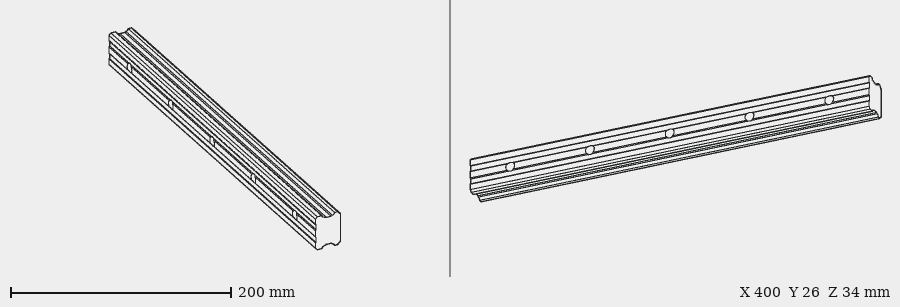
import cadquery as cq

length = 400.0
depth = 26.0
height = 34.0
half_depth = depth / 2
half_height = height / 2

base_chamfer = 2.0
flange_inner_y = -6.0

lip_outer_y = 10.5
lip_inner_y = 7.0
inner_track_end_y = 4.5
inner_track_end_z = 15.0
outer_track_z = 14.5
track_sagitta = 0.6

waist_half_height = 14.0
waist_start_y = 3.0
waist_end_y = -1.5
flange_slope_y = -5.0
flange_slope_z = 15.0

groove_outer_z = 9.0
groove_inner_z = 4.0
land_half_height = 3.0
groove_depth = 1.0

hole_diameter = 9.0
hole_pitch = 80.0
hole_count = 5


def make_half_rail():
    """Extrude the upper half of the section, drawn as (Y, Z) from Z = 0."""
    outline = (
        cq.Workplane("YZ")
        .moveTo(half_depth, 0)
        .lineTo(half_depth, outer_track_z)
        .sagittaArc((lip_outer_y, half_height), track_sagitta)
        .lineTo(lip_inner_y, half_height)
        .sagittaArc((inner_track_end_y, inner_track_end_z), track_sagitta)
        .lineTo(waist_start_y, waist_half_height)
        .lineTo(waist_end_y, waist_half_height)
        .lineTo(flange_slope_y, flange_slope_z)
        .lineTo(flange_inner_y, half_height)
        .lineTo(-half_depth + base_chamfer, half_height)
        .lineTo(-half_depth, half_height - base_chamfer)
        .lineTo(-half_depth, 0)
        .close()
    )
    return outline.extrude(length / 2, both=True)


def make_base_groove(side):
    """Full-length groove with a sloped inner wall, on one side of Z = 0."""
    floor_y = -half_depth + groove_depth
    section = [
        (-half_depth, side * groove_outer_z),
        (floor_y, side * groove_outer_z),
        (floor_y, side * groove_inner_z),
        (-half_depth, side * land_half_height),
    ]
    return cq.Workplane("YZ").polyline(section).close().extrude(length / 2, both=True)


def make_holes():
    """Plain through holes along Y, centred on the rail."""
    holes = cq.Workplane("XZ").rarray(hole_pitch, 4, hole_count, 1)
    return holes.circle(hole_diameter / 2).extrude(depth, both=True)


half_rail = make_half_rail()
result = half_rail.union(half_rail.mirror("XY")).clean()
for side in (1, -1):
    result = result.cut(make_base_groove(side))
result = result.cut(make_holes())